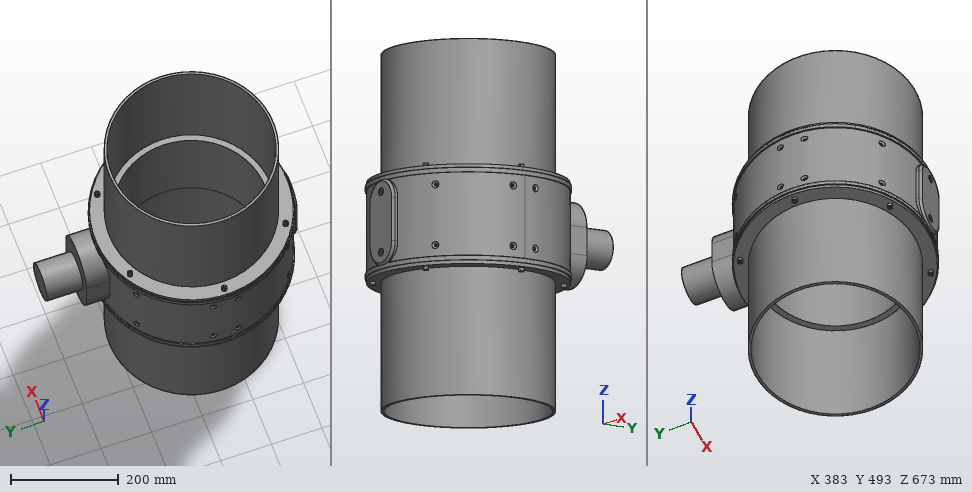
import cadquery as cq

PIPE_LENGTH = 673.0
PIPE_OUTER_DIA = 324.0
PIPE_INNER_DIA = 313.5
THROAT_DIA = 290.0

BODY_DIA = 378.0
RIM_DIA = 383.0
HOUSING_HALF_HEIGHT = 94.0
RIM_BOTTOM = 79.0
RIM_TOP = 87.5

END_SCREW_COUNT = 6
END_SCREW_CIRCLE_DIA = 355.0
SCREW_HEAD_DIA = 10.0
SCREW_HEAD_HEIGHT = 7.0
SOCKET_ACROSS_CORNERS = 5.7
SOCKET_DEPTH = 3.5

WALL_HOLE_ANGLES = (7.5, 52.5, 127.5, 172.5, 187.5, 232.5, 307.5, 352.5)
ROW_HEIGHT = 57.0
COUNTERSINK_DIA = 13.5
COUNTERSINK_FLOOR_DIA = 5.7
COUNTERSINK_DEPTH = 3.0
WALL_BORE_DIA = 3.5
WALL_BORE_DEPTH = 7.0

PLATE_WIDTH = 82.0
PLATE_HEIGHT = 163.5
PLATE_FACE_Y = -195.0
PLATE_CHAMFER = 5.0
PLATE_RECESS_DIA = 14.0
PLATE_RECESS_DEPTH = 2.0

BOSS_WIDTH = 110.5
BOSS_HEIGHT = 163.5
BOSS_FACE_Y = 227.5
BRANCH_DIA = 75.0
BRANCH_END_Y = 298.0

ROOT_RADIUS = 168.0


def cylinder_z(diameter, bottom, height):
    return cq.Workplane("XY").workplane(offset=bottom).circle(diameter / 2).extrude(height)


def obround_along_y(width, height, start_y, end_y):
    """Upright obround prism running from start_y to end_y."""
    return (
        cq.Workplane("XZ", origin=(0, start_y, 0))
        .slot2D(height, width, 90)
        .extrude(start_y - end_y)
    )


def socket_screw_head(height):
    """Round head standing on Z = 0 with a hexagon socket in its top."""
    head = cylinder_z(SCREW_HEAD_DIA, 0, height)
    return head.faces(">Z").workplane().polygon(6, SOCKET_ACROSS_CORNERS).cutBlind(-SOCKET_DEPTH)


def make_housing():
    """Solid drum with a raised rim near each end."""
    housing = cylinder_z(BODY_DIA, -HOUSING_HALF_HEIGHT, 2 * HOUSING_HALF_HEIGHT)
    rim = cylinder_z(RIM_DIA, RIM_BOTTOM, RIM_TOP - RIM_BOTTOM)
    housing = housing.union(rim).union(rim.mirror("XY"))
    return housing


def cut_wall_holes(housing):
    sink = cq.Solid.makeCone(
        COUNTERSINK_DIA / 2, COUNTERSINK_FLOOR_DIA / 2, COUNTERSINK_DEPTH
    )
    bore = cq.Solid.makeCylinder(WALL_BORE_DIA / 2, WALL_BORE_DEPTH)
    tool = cq.Workplane(sink.fuse(bore)).rotate((0, 0, 0), (0, 1, 0), -90)
    for row_z in (-ROW_HEIGHT, ROW_HEIGHT):
        placed = tool.translate((BODY_DIA / 2, 0, row_z))
        for angle in WALL_HOLE_ANGLES:
            housing = housing.cut(placed.rotate((0, 0, 0), (0, 0, 1), angle))
    return housing


def add_end_screws(housing):
    head = socket_screw_head(SCREW_HEAD_HEIGHT).translate(
        (END_SCREW_CIRCLE_DIA / 2, 0, HOUSING_HALF_HEIGHT)
    )
    for i in range(END_SCREW_COUNT):
        upper = head.rotate((0, 0, 0), (0, 0, 1), i * 360 / END_SCREW_COUNT)
        housing = housing.union(upper).union(upper.mirror("XY"))
    return housing


def add_cover_plate(housing):
    plate = obround_along_y(PLATE_WIDTH, PLATE_HEIGHT, -ROOT_RADIUS, PLATE_FACE_Y)
    plate = plate.faces("<Y").chamfer(PLATE_CHAMFER)
    housing = housing.union(plate)
    recess = cylinder_z(PLATE_RECESS_DIA, 0, PLATE_RECESS_DEPTH)
    socket = (
        cq.Workplane("XY")
        .polygon(6, SOCKET_ACROSS_CORNERS)
        .extrude(PLATE_RECESS_DEPTH + SOCKET_DEPTH)
    )
    tool = recess.union(socket).rotate((0, 0, 0), (1, 0, 0), -90)
    for row_z in (-ROW_HEIGHT, ROW_HEIGHT):
        housing = housing.cut(tool.translate((0, PLATE_FACE_Y, row_z)))
    return housing


def add_branch(housing):
    boss = obround_along_y(BOSS_WIDTH, BOSS_HEIGHT, ROOT_RADIUS, BOSS_FACE_Y)
    branch = (
        cq.Workplane("XZ", origin=(0, ROOT_RADIUS, 0))
        .circle(BRANCH_DIA / 2)
        .extrude(ROOT_RADIUS - BRANCH_END_Y)
    )
    return housing.union(boss).union(branch)


def add_pipe(housing):
    """Add both pipe ends, which meet the narrower throat inside the housing."""
    part = housing.union(cylinder_z(PIPE_OUTER_DIA, -PIPE_LENGTH / 2, PIPE_LENGTH))
    part = part.cut(cylinder_z(THROAT_DIA, -PIPE_LENGTH / 2, PIPE_LENGTH))
    end_length = PIPE_LENGTH / 2 - HOUSING_HALF_HEIGHT
    for bottom in (-PIPE_LENGTH / 2, HOUSING_HALF_HEIGHT):
        part = part.cut(cylinder_z(PIPE_INNER_DIA, bottom, end_length))
    return part


housing = cut_wall_holes(make_housing())
housing = add_end_screws(housing)
housing = add_cover_plate(housing)
housing = add_branch(housing)
result = add_pipe(housing)